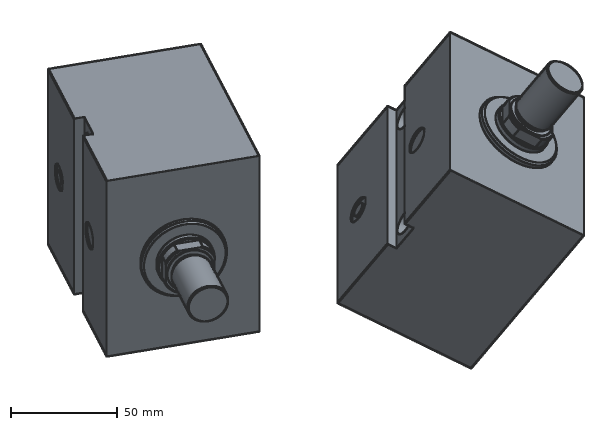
import cadquery as cq

block_length = 98.0
block_depth = 75.0
block_height = 100.0
edge_chamfer = 0.3

slot_center_x = 51.0
slot_width = 14.8
slot_depth = 5.0
bolt_hole_diameter = 13.0
bolt_hole_spacing = 76.0

port_diameter = 13.0
port_depth = 1.0
pin_port_x = 18.0
plain_port_x = 69.0

pin_diameter = 7.0

gland_diameter = 42.0
gland_length = 3.0
gland_chamfer = 1.0

overall_length = 140.0
rod_chamfer = 0.5
collar_diameter = 28.0
collar_end_x = block_length + 6.0
flats_diameter = collar_diameter - 2 * rod_chamfer
flats_across = 24.0
flats_end_x = block_length + 12.0
shoulder_diameter = 22.7
shoulder_end_x = block_length + 12.5
neck_diameter = 18.0
neck_end_x = block_length + 14.0
shank_diameter = 20.0

front_y = -block_depth / 2


def front_cylinder(diameter, start_y, length, x, z=0.0):
    """Cylinder along +Y that starts at start_y."""
    circle = cq.Workplane("XZ", origin=(x, start_y, z)).circle(diameter / 2)
    return circle.extrude(-length)


def axial_cylinder(diameter, start_x, end_x):
    """Cylinder along the rod axis between two X positions."""
    circle = cq.Workplane("YZ", origin=(start_x, 0, 0)).circle(diameter / 2)
    return circle.extrude(end_x - start_x)


def make_housing():
    block = cq.Workplane("XY").box(block_length, block_depth, block_height, centered=(False, True, True))
    block = block.edges("|X").chamfer(edge_chamfer)

    slot = cq.Workplane("XY").box(slot_width, 2 * slot_depth, block_height)
    block = block.cut(slot.translate((slot_center_x, front_y, 0)))

    for side in (-1, 1):
        hole_z = side * bolt_hole_spacing / 2
        block = block.cut(front_cylinder(bolt_hole_diameter, front_y, block_depth, slot_center_x, hole_z))

    for port_x in (pin_port_x, plain_port_x):
        block = block.cut(front_cylinder(port_diameter, front_y, port_depth, port_x))
    return block


def make_port_pin():
    return front_cylinder(pin_diameter, front_y, port_depth, pin_port_x)


def make_gland():
    ring_end_x = block_length + gland_length
    ring = axial_cylinder(gland_diameter, block_length, ring_end_x)
    ring = ring.faces(">X").edges().chamfer(gland_chamfer)
    return ring.cut(axial_cylinder(collar_diameter, block_length, ring_end_x))


def make_rod():
    collar = axial_cylinder(collar_diameter, block_length, collar_end_x)
    collar = collar.faces(">X").edges().chamfer(rod_chamfer)

    flats = axial_cylinder(flats_diameter, collar_end_x, flats_end_x)
    flats = flats.faces(">X").edges().chamfer(rod_chamfer)
    square = cq.Workplane("YZ", origin=(collar_end_x, 0, 0)).rect(flats_across, flats_across)
    flats = flats.intersect(square.extrude(flats_end_x - collar_end_x))

    shoulder = axial_cylinder(shoulder_diameter, flats_end_x, shoulder_end_x)
    neck = axial_cylinder(neck_diameter, shoulder_end_x, neck_end_x)

    shank = axial_cylinder(shank_diameter, neck_end_x, overall_length)
    shank = shank.edges().chamfer(rod_chamfer)
    return collar.union(flats).union(shoulder).union(neck).union(shank)


housing = make_housing()
port_pin = make_port_pin()
gland = make_gland()
rod = make_rod()

result = cq.Compound.makeCompound([housing.val(), port_pin.val(), gland.val(), rod.val()])